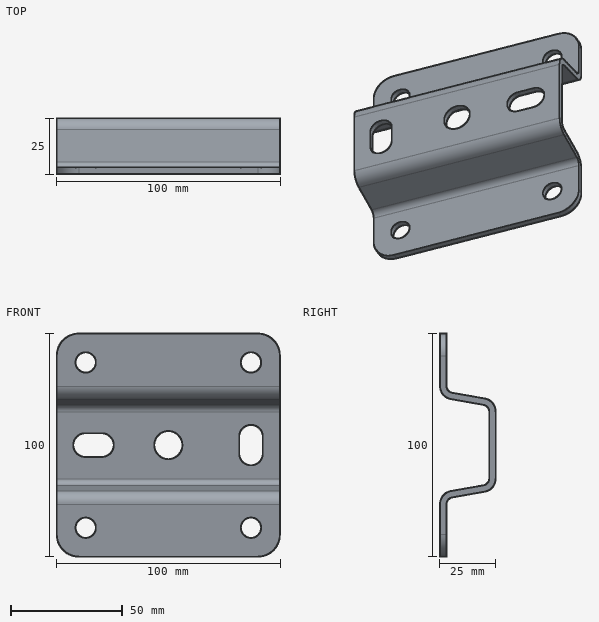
import cadquery as cq
import math

length = 100.0
height = 100.0
depth = 25.0
thickness = 3.0
corner_radius = 10.0

inner_bend_radius = 3.0
outer_bend_radius = inner_bend_radius + thickness
leg_tilt = 10.0
web_flat_height = 30.0

flange_hole_diameter = 9.0
flange_hole_pitch = 74.0
center_hole_diameter = 12.5
slot_length = 18.0
slot_width = 10.5
upright_slot_x = flange_hole_pitch / 2
level_slot_x = -33.5

flange_y = -depth / 2
web_y = depth / 2

tilt = math.radians(leg_tilt)
web_bend_center = (web_y - outer_bend_radius, web_flat_height / 2)
flange_bend_y = flange_y + outer_bend_radius
bend_center_depth = web_bend_center[0] - flange_bend_y
bend_center_rise = (
    inner_bend_radius + outer_bend_radius + bend_center_depth * math.sin(tilt)
) / math.cos(tilt)
flange_bend_center = (flange_bend_y, web_bend_center[1] + bend_center_rise)


def on_circle(center, radius, degrees):
    """Point (y, z) on a circle, with the angle taken from +Y toward +Z."""
    angle = math.radians(degrees)
    return (center[0] + radius * math.cos(angle), center[1] + radius * math.sin(angle))


def add_bend(outline, center, radius, start, end):
    """Continue the outline to the start of a bend and follow its arc to the end."""
    return outline.lineTo(*on_circle(center, radius, start)).threePointArc(
        on_circle(center, radius, (start + end) / 2),
        on_circle(center, radius, end),
    )


def make_half_section():
    """Upper half of the hat section, from the middle of the web to the flange edge."""
    web_leg_angle = 90 - leg_tilt
    flange_leg_angle = web_leg_angle + 180
    flange_start = 180
    outline = cq.Workplane("YZ").moveTo(web_y, 0)
    outline = add_bend(outline, web_bend_center, outer_bend_radius, 0, web_leg_angle)
    outline = add_bend(outline, flange_bend_center, inner_bend_radius, flange_leg_angle, flange_start)
    outline = outline.lineTo(flange_y + thickness, height / 2).lineTo(flange_y, height / 2)
    outline = add_bend(outline, flange_bend_center, outer_bend_radius, flange_start, flange_leg_angle)
    outline = add_bend(outline, web_bend_center, inner_bend_radius, web_leg_angle, 0)
    outline = outline.lineTo(web_y - thickness, 0).close()
    return outline.extrude(length / 2, both=True)


def make_cutters():
    """Prisms along Y for the flange holes, the web hole and the two web slots."""
    outlines = (
        cq.Workplane("XZ")
        .rect(flange_hole_pitch, flange_hole_pitch, forConstruction=True)
        .vertices()
        .circle(flange_hole_diameter / 2),
        cq.Workplane("XZ").circle(center_hole_diameter / 2),
        cq.Workplane("XZ").center(level_slot_x, 0).slot2D(slot_length, slot_width),
        cq.Workplane("XZ").center(upright_slot_x, 0).slot2D(slot_length, slot_width, 90),
    )
    return [outline.extrude(depth, both=True) for outline in outlines]


half = make_half_section()
result = half.union(half.mirror("XY")).clean()

flange_corners = result.faces("<Z or >Z").edges("|Y")
result = flange_corners.fillet(corner_radius)

for cutter in make_cutters():
    result = result.cut(cutter)